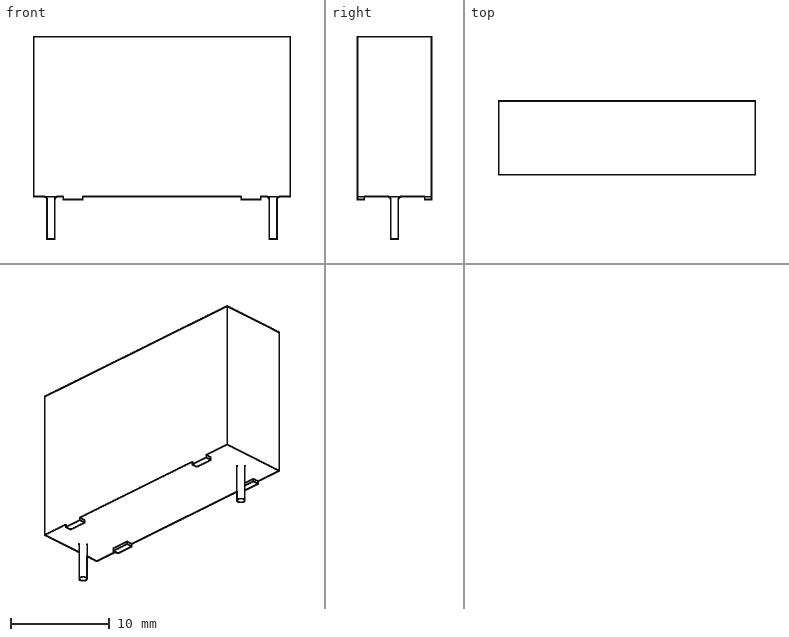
import cadquery as cq

body_length = 26.0
body_width = 7.5
overall_height = 20.5

foot_height = 0.3
foot_length = 2.0
foot_width = 0.7
foot_end_inset = 3.0

lead_diameter = 0.8
lead_pitch = 22.5
lead_length = 4.0
flare_radius = foot_height

body_height = overall_height - lead_length - foot_height
body_bottom = foot_height


def make_body():
    """Plain rectangular case, standing on its feet."""
    return (
        cq.Workplane("XY")
        .workplane(offset=body_bottom)
        .box(body_length, body_width, body_height, centered=(True, True, False))
    )


def make_feet():
    """Four feet, flush with the long side faces."""
    foot_x = body_length / 2 - foot_end_inset - foot_length / 2
    foot_y = body_width / 2 - foot_width / 2
    return (
        cq.Workplane("XY")
        .rect(2 * foot_x, 2 * foot_y, forConstruction=True)
        .vertices()
        .rect(foot_length, foot_width)
        .extrude(body_bottom)
    )


def make_lead(x):
    """One lead, revolved from its half profile about the vertical line at x."""
    lead_radius = lead_diameter / 2
    flare_top_radius = lead_radius + flare_radius
    flare_bottom = body_bottom - flare_radius
    return (
        cq.Workplane("XZ")
        .moveTo(0, -lead_length)
        .lineTo(lead_radius, -lead_length)
        .lineTo(lead_radius, flare_bottom)
        .radiusArc((flare_top_radius, body_bottom), flare_radius)
        .lineTo(0, body_bottom)
        .close()
        .revolve(360, (0, 0, 0), (0, 1, 0))
        .translate((x, 0, 0))
    )


result = make_body().union(make_feet())
for side in (-1, 1):
    result = result.union(make_lead(side * lead_pitch / 2))